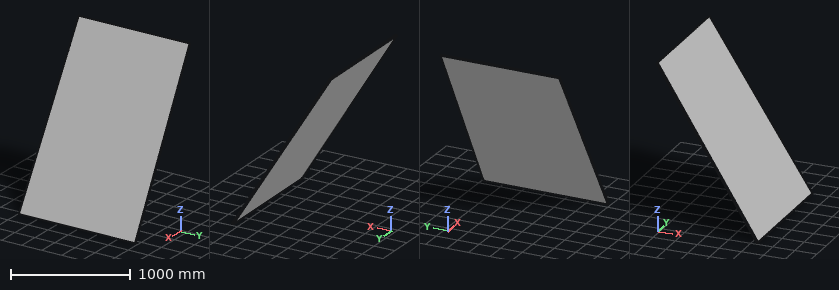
import cadquery as cq
import math

height = 1485.0
tilt = 58.3
thickness = 15.0
bottom_width = 1160.0
top_width = 1107.0

tilt_radians = math.radians(tilt)
end_run = thickness * math.sin(tilt_radians)
end_rise = thickness * math.cos(tilt_radians)
slope_length = (height - end_rise) / math.sin(tilt_radians)
overall_run = slope_length * math.cos(tilt_radians) + end_run

leaning_plate = (
    cq.Workplane("XY")
    .box(slope_length, bottom_width, thickness, centered=False)
    .rotate((0, 0, 0), (0, 1, 0), tilt)
)

plan_prism = (
    cq.Workplane("XY")
    .workplane(offset=end_rise - height)
    .polyline([
        (0, 0),
        (overall_run, 0),
        (overall_run, bottom_width),
        (0, top_width),
    ])
    .close()
    .extrude(height)
)

result = leaning_plate.intersect(plan_prism)